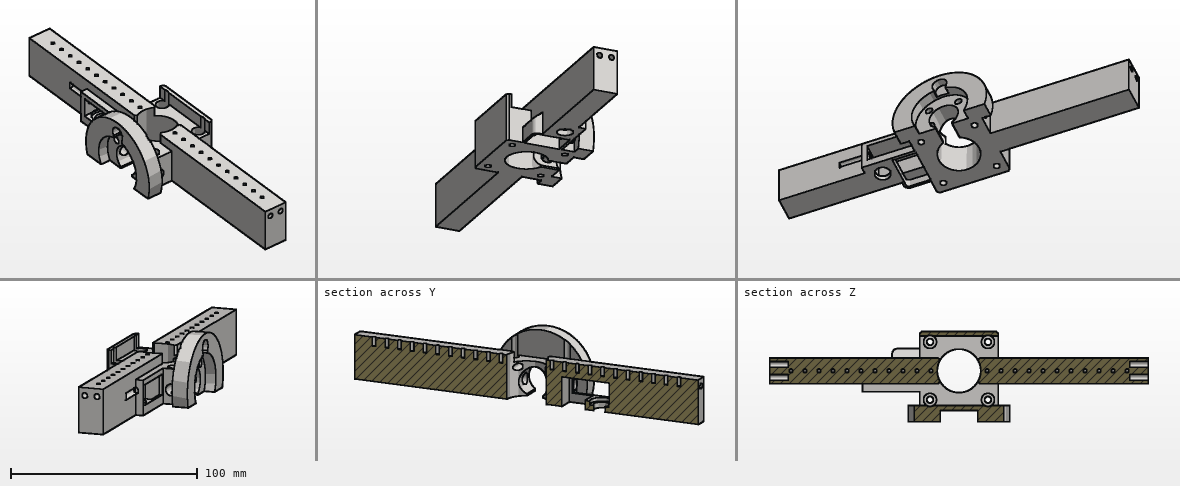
import cadquery as cq
import math

BAR_LENGTH = 203.0
BAR_WIDTH = 14.0
BAR_HEIGHT = 25.0
BAR_GAP = 19.0
BAR_END_CHAMFER = 1.8

PEG_DIAMETER = 1.8
PEG_DEPTH = 5.0
PEG_PITCH = 7.5
PEG_COUNT = 11
FIRST_PEG_X = 15.0

END_HOLE_DIAMETER = 3.0
END_HOLE_DEPTH = 10.0
END_HOLE_SPACING = 7.0
END_HOLE_Z = 20.7

BLOCK_SIDE = 42.3
BLOCK_HEIGHT = 19.5
BACK_WALL_THICKNESS = 2.6
BACK_WALL_HEIGHT = 27.0
BACK_CHAMFER = 1.2
BORE_DIAMETER = 23.2
SCREW_SPACING = 31.0
SCREW_DIAMETER = 3.4
SCREW_HEAD_DIAMETER = 7.0
SCREW_HEAD_DEPTH = 6.0

FLANGE_DIAMETER = 54.6
FLANGE_TOP = 35.3
FLANGE_FRONT_Y = -27.35
FLANGE_THICKNESS = 8.8
RECESS_DIAMETER = 32.4
RECESS_DEPTH = 6.0
NOTCH_DIAMETER = 8.4
NOTCH_DEPTH = 4.5
NOTCH_OFFSET = 19.7
NOTCH_NECK_WIDTH = 6.8
FRONT_BORE_DIAMETER = 16.8
FRONT_SLOT_WIDTH = 9.4
PIN_DIAMETER = 3.9
PIN_CIRCLE_RADIUS = 12.0
PIN_ANGLES = (45.0, 135.0)

CROSS_HOLE_DIAMETER = 6.4
CROSS_HOLE_Y = -15.8
CROSS_HOLE_Z = 7.9

BRACKET_LEFT_X = -51.8
BRACKET_FRONT_Y = -11.2
WINDOW_LEFT_X = -48.7
WINDOW_RIGHT_X = -22.7
WINDOW_BOTTOM_Z = 5.2
WINDOW_TOP_Z = 16.5
WINDOW_BACK_Y = 5.0
PIT_DIAMETER = 12.6
PIT_DEPTH = 2.0
PIT_HOLE_DIAMETER = 8.8
PIT_X = -43.0
PIT_Y = -3.0

GROOVE_LEFT_X = -66.5
GROOVE_DIAMETER = 3.9
GROOVE_Y = -6.6
GROOVE_Z = 13.4

HUMP_LEFT_X = -35.9
HUMP_BACK_Y = 12.0
HUMP_EAVE_Z = 8.8
HUMP_RIDGE_Z = 12.7
HUMP_CORNER_RADIUS = 3.1
HUMP_WALL = 1.3
CHAMBER_FRONT_Y = -9.6
CHAMBER_RIGHT_X = -20.9

BAR_BACK_Y = BAR_WIDTH / 2
BLOCK_HALF = BLOCK_SIDE / 2
WALL_FRONT_Y = BLOCK_HALF - BACK_WALL_THICKNESS
FLANGE_BACK_Y = FLANGE_FRONT_Y + FLANGE_THICKNESS
FLANGE_Z = FLANGE_TOP - FLANGE_DIAMETER / 2
RECESS_FLOOR_Y = FLANGE_FRONT_Y + RECESS_DEPTH


def box(x_range, y_range, z_range):
    """Box spanning the given (low, high) ranges."""
    lows, highs = zip(x_range, y_range, z_range)
    sizes = [high - low for low, high in zip(lows, highs)]
    return cq.Workplane("XY").box(*sizes, centered=False).translate(lows)


def cylinder(diameter, length, start, direction):
    """Cylinder running from a start point along a direction."""
    return cq.Workplane(cq.Solid.makeCylinder(
        diameter / 2, length, cq.Vector(*start), cq.Vector(*direction)))


def bar_half(side):
    """Left (-1) or right (+1) half of the crossbar, with a chamfered inner end."""
    length = (BAR_LENGTH - BAR_GAP) / 2
    middle_x = side * (BAR_LENGTH + BAR_GAP) / 4
    half = cq.Workplane("XY").box(length, BAR_WIDTH, BAR_HEIGHT, centered=(True, True, False))
    inner_edges = "|Z and <X" if side > 0 else "|Z and >X"
    return half.edges(inner_edges).chamfer(BAR_END_CHAMFER).translate((middle_x, 0, 0))


def block():
    """Central block and its back wall."""
    span = (-BLOCK_HALF, BLOCK_HALF)
    base = box(span, (FLANGE_BACK_Y, BLOCK_HALF), (0, BLOCK_HEIGHT))
    wall = box(span, (WALL_FRONT_Y, BLOCK_HALF), (0, BACK_WALL_HEIGHT))
    return base.union(wall).edges("|Z and >Y").chamfer(BACK_CHAMFER)


def flange():
    """Disc cut off flat at the underside of the part."""
    disc = cylinder(FLANGE_DIAMETER, FLANGE_THICKNESS, (0, FLANGE_FRONT_Y, FLANGE_Z), (0, 1, 0))
    above_base = box(
        (-FLANGE_DIAMETER, FLANGE_DIAMETER), (FLANGE_FRONT_Y, FLANGE_BACK_Y), (0, FLANGE_TOP))
    return disc.intersect(above_base)


def front_bore():
    """Round bore along Y, opened downward by a narrower slot."""
    depth_to_bore_axis = -RECESS_FLOOR_Y
    bore = cylinder(FRONT_BORE_DIAMETER, depth_to_bore_axis, (0, RECESS_FLOOR_Y, FLANGE_Z), (0, 1, 0))
    slot_x = (-FRONT_SLOT_WIDTH / 2, FRONT_SLOT_WIDTH / 2)
    return bore.union(box(slot_x, (RECESS_FLOOR_Y, 0), (0, FLANGE_Z)))


def flange_cuts():
    """Stepped recess, necked notch, front bore and pin holes of the flange."""
    recess = cylinder(RECESS_DIAMETER, RECESS_DEPTH, (0, FLANGE_FRONT_Y, FLANGE_Z), (0, 1, 0))
    notch_start = (0, FLANGE_FRONT_Y, FLANGE_Z + NOTCH_OFFSET)
    cuts = recess.union(cylinder(NOTCH_DIAMETER, NOTCH_DEPTH, notch_start, (0, 1, 0)))
    neck = box(
        (-NOTCH_NECK_WIDTH / 2, NOTCH_NECK_WIDTH / 2),
        (FLANGE_FRONT_Y, FLANGE_FRONT_Y + NOTCH_DEPTH),
        (FLANGE_Z, FLANGE_Z + NOTCH_OFFSET),
    )
    cuts = cuts.union(neck).union(front_bore())
    depth_to_bore_axis = -RECESS_FLOOR_Y
    for angle in PIN_ANGLES:
        x = PIN_CIRCLE_RADIUS * math.cos(math.radians(angle))
        z = FLANGE_Z + PIN_CIRCLE_RADIUS * math.sin(math.radians(angle))
        cuts = cuts.union(cylinder(PIN_DIAMETER, depth_to_bore_axis, (x, RECESS_FLOOR_Y, z), (0, 1, 0)))
    return cuts


def block_cuts():
    """Vertical bore, counterbored corner screws and the cross hole."""
    cuts = cylinder(BORE_DIAMETER, BAR_HEIGHT, (0, 0, 0), (0, 0, 1))
    head_floor_z = BLOCK_HEIGHT - SCREW_HEAD_DEPTH
    head_clearance = FLANGE_TOP - head_floor_z
    for x_side in (-1, 1):
        for y_side in (-1, 1):
            x = x_side * SCREW_SPACING / 2
            y = y_side * SCREW_SPACING / 2
            shank = cylinder(SCREW_DIAMETER, BLOCK_HEIGHT, (x, y, 0), (0, 0, 1))
            head = cylinder(SCREW_HEAD_DIAMETER, head_clearance, (x, y, head_floor_z), (0, 0, 1))
            cuts = cuts.union(shank).union(head)
    cross_start = (-BLOCK_HALF, CROSS_HOLE_Y, CROSS_HOLE_Z)
    return cuts.union(cylinder(CROSS_HOLE_DIAMETER, BLOCK_SIDE, cross_start, (1, 0, 0)))


def bar_cuts(side):
    """Top hole row and end-face holes of one bar half."""
    cuts = cq.Workplane("XY")
    for index in range(PEG_COUNT):
        x = side * (FIRST_PEG_X + index * PEG_PITCH)
        cuts = cuts.add(cylinder(PEG_DIAMETER, PEG_DEPTH, (x, 0, BAR_HEIGHT), (0, 0, -1)))
    for y_side in (-1, 1):
        start = (side * BAR_LENGTH / 2, y_side * END_HOLE_SPACING / 2, END_HOLE_Z)
        cuts = cuts.add(cylinder(END_HOLE_DIAMETER, END_HOLE_DEPTH, start, (-side, 0, 0)))
    return cuts.combine()


def hump():
    """Sloped-roof hump on the back of the left bar half."""
    profile = (
        cq.Workplane("YZ", origin=(HUMP_LEFT_X, 0, 0))
        .polyline([(0, 0), (HUMP_BACK_Y, 0), (HUMP_BACK_Y, HUMP_EAVE_Z),
                   (BAR_BACK_Y, HUMP_RIDGE_Z), (0, HUMP_RIDGE_Z)])
        .close()
    )
    body = profile.extrude(-BLOCK_HALF - HUMP_LEFT_X)
    return body.edges("|Z and >Y and <X").fillet(HUMP_CORNER_RADIUS)


def bracket_cuts():
    """Servo window, round pit with a through hole, chamber behind the frame and cable groove."""
    window_x = (WINDOW_LEFT_X, WINDOW_RIGHT_X)
    cuts = box(window_x, (BRACKET_FRONT_Y, WINDOW_BACK_Y), (WINDOW_BOTTOM_Z, WINDOW_TOP_Z))
    cuts = cuts.union(cylinder(PIT_DIAMETER, PIT_DEPTH, (PIT_X, PIT_Y, WINDOW_BOTTOM_Z), (0, 0, -1)))
    cuts = cuts.union(cylinder(PIT_HOLE_DIAMETER, WINDOW_BOTTOM_Z, (PIT_X, PIT_Y, 0), (0, 0, 1)))
    chamber_x = (HUMP_LEFT_X + HUMP_WALL, CHAMBER_RIGHT_X)
    chamber_back_y = HUMP_BACK_Y - HUMP_WALL
    low_chamber = box(chamber_x, (CHAMBER_FRONT_Y, chamber_back_y), (0, WINDOW_BOTTOM_Z))
    low_chamber = low_chamber.edges("|Z and >Y and <X").fillet(HUMP_CORNER_RADIUS - HUMP_WALL)
    high_chamber = box(chamber_x, (CHAMBER_FRONT_Y, WINDOW_BACK_Y), (0, WINDOW_TOP_Z))
    groove_length = WINDOW_LEFT_X - GROOVE_LEFT_X
    groove = cylinder(GROOVE_DIAMETER, groove_length, (GROOVE_LEFT_X, GROOVE_Y, GROOVE_Z), (1, 0, 0))
    return cuts.union(low_chamber).union(high_chamber).union(groove)


bracket = box((BRACKET_LEFT_X, -BLOCK_HALF), (BRACKET_FRONT_Y, 0), (0, BLOCK_HEIGHT))

result = block().union(bar_half(-1)).union(bar_half(1)).union(flange()).union(bracket).union(hump())
result = result.cut(block_cuts()).cut(flange_cuts()).cut(bracket_cuts())
for bar_side in (-1, 1):
    result = result.cut(bar_cuts(bar_side))